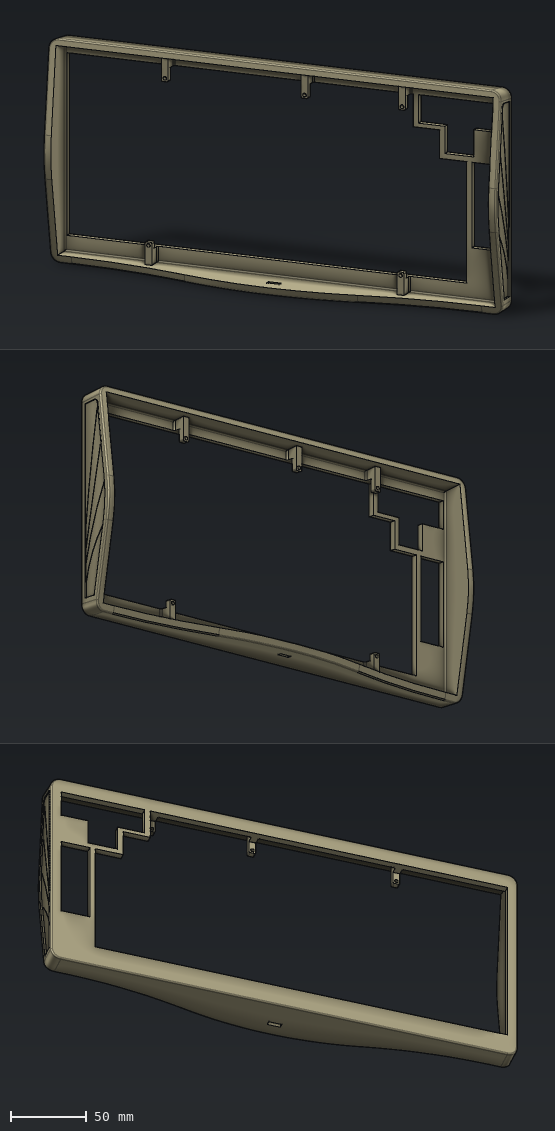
import cadquery as cq
import math


WIDTH = 325.0
HALF_WIDTH = WIDTH / 2
CORNER_RADIUS = 7.0
EDGE_FILLET = 1.0

TOP_HEIGHT = 155.0
TOP_DEPTH = 18.4
APEX_DEPTH = 28.6
APEX_HEIGHT = 75.0
APEX_RADIUS = 100.0
FOOT_DEPTH = 15.0
TOP_SLOPE = (APEX_DEPTH - TOP_DEPTH) / (TOP_HEIGHT - APEX_HEIGHT)
FOOT_SLOPE = (APEX_DEPTH - FOOT_DEPTH) / APEX_HEIGHT

LIP_DEPTH = 32.34
LIP_BEND_X = 62.2
LIP_END_X = 147.3

SIDE_WALL = 5.4
TOP_WALL = 4.85
BOTTOM_WALL = 5.4
PLATE_THICKNESS = 4.6
CAVITY_FILLET = 1.3
CAVITY_REACH = LIP_DEPTH + 10.0

OPENING_HALF_WIDTH = 155.4
OPENING_BOTTOM = 16.25
OPENING_TOP = 141.6
STRUT_WIDTH = 3.9
STEP_1_X = 93.4
STEP_1_Z = 119.1
STEP_2_X = 112.2
STEP_2_Z = 99.5
COLUMN_X = 131.6
UPPER_WINDOW_Z = 122.1
NOTCH_RIGHT_X = 136.8
LOWER_WINDOW_BOTTOM = 40.8

POST_WIDTH = 4.9
POST_DEPTH = 13.6
POST_TIP_THICKNESS = 4.2
POST_FLARE = 1.0
POST_TIP_FILLET = 1.0
POST_HOLE_DIAMETER = 2.4
POST_HOLE_INSET = 2.35
TOP_POST_TIP = 132.5
BOTTOM_POST_TIP = 21.2
TOP_POST_XS = (-81.2, 19.1, 89.1)
BOTTOM_POST_XS = (-93.0, 88.1)

SLOT_LENGTH = 9.0
SLOT_WIDTH = 3.0
SLOT_FRONT_DEPTH = 21.7

PANEL_INSET = 3.9
PANEL_BOTTOM = 10.4
PANEL_TOP_DROP = 9.0
PANEL_DEPTH = 0.6
BLADE_STEP = 0.2
PANEL_CORNER = 3.0
BLADE_EDGES = (
    ((15.2, 139.1), (7.8, 91.1), (PANEL_INSET, 58.0)),
    ((18.1, 113.2), (9.3, 71.6), (PANEL_INSET, 44.0)),
    ((22.0, 87.7), (12.9, 66.2), (PANEL_INSET, 35.0)),
    ((20.0, 57.4), (11.5, 44.2), (PANEL_INSET, 21.6)),
)


def depth_point(depth, height):
    """Point of the YZ workplane at a depth in front of the back plane."""
    return (-depth, height)


def top_height_at(depth):
    """Height of the sloping top face at a given depth."""
    return TOP_HEIGHT - TOP_SLOPE * (TOP_DEPTH - depth)


def side_outline(inset, bottom, top_drop):
    """Closed side outline: straight back, sloping top, front rounded at its apex."""
    apex_depth = APEX_DEPTH - inset
    radius = APEX_RADIUS - inset
    upper_angle = math.atan(TOP_SLOPE)
    lower_angle = math.atan(FOOT_SLOPE)
    tangent = radius * math.tan((upper_angle + lower_angle) / 2)

    arc_top = depth_point(
        apex_depth - tangent * math.sin(upper_angle),
        APEX_HEIGHT + tangent * math.cos(upper_angle),
    )
    arc_bottom = depth_point(
        apex_depth - tangent * math.sin(lower_angle),
        APEX_HEIGHT - tangent * math.cos(lower_angle),
    )
    centre_depth = -arc_top[0] - radius * math.cos(upper_angle)
    centre_height = arc_top[1] - radius * math.sin(upper_angle)
    arc_middle = depth_point(centre_depth + radius, centre_height)

    front_top = TOP_DEPTH - inset + TOP_SLOPE * top_drop
    front_bottom = FOOT_DEPTH - inset + FOOT_SLOPE * bottom
    return (
        cq.Workplane("YZ")
        .moveTo(*depth_point(inset, bottom))
        .lineTo(*depth_point(inset, top_height_at(inset) - top_drop))
        .lineTo(*depth_point(front_top, top_height_at(front_top) - top_drop))
        .lineTo(*arc_top)
        .threePointArc(arc_middle, arc_bottom)
        .lineTo(*depth_point(front_bottom, bottom))
        .close()
    )


def make_lip():
    """Bottom lip with an ogee front edge, leaning forward like the lower front face."""
    lean = FOOT_SLOPE * BOTTOM_WALL
    tip_depth = LIP_DEPTH - lean
    bend_depth = tip_depth - (tip_depth - FOOT_DEPTH) * LIP_BEND_X / LIP_END_X
    end_x = HALF_WIDTH - CORNER_RADIUS
    outline = (
        cq.Workplane("XY")
        .moveTo(-end_x, -PLATE_THICKNESS)
        .lineTo(-end_x, -FOOT_DEPTH)
        .lineTo(-LIP_END_X, -FOOT_DEPTH)
        .tangentArcPoint((-LIP_BEND_X, -bend_depth), relative=False)
        .threePointArc((0, -tip_depth), (LIP_BEND_X, -bend_depth))
        .tangentArcPoint((LIP_END_X, -FOOT_DEPTH), relative=False)
        .lineTo(end_x, -FOOT_DEPTH)
        .lineTo(end_x, -PLATE_THICKNESS)
        .close()
        .wire()
        .val()
    )
    return cq.Workplane(cq.Solid.extrudeLinear(outline, [], cq.Vector(0, -lean, BOTTOM_WALL)))


def is_rim_edge(edge):
    """True for edges where the outer walls meet the back plane or the front."""
    centre = edge.Center()
    depth = -centre.y
    at_back_or_front = depth < EDGE_FILLET or depth > FOOT_DEPTH - EDGE_FILLET
    on_side = abs(centre.x) > HALF_WIDTH - EDGE_FILLET
    on_corner = edge.geomType() != "LINE" and abs(centre.x) > HALF_WIDTH - CORNER_RADIUS / 2
    on_bottom = centre.z < EDGE_FILLET
    on_top = centre.z > top_height_at(0) - EDGE_FILLET
    return at_back_or_front and (on_side or on_corner or on_bottom or on_top)


def is_corner_edge(edge):
    """True for the four outer corner edges, which run from back to front."""
    centre = edge.Center()
    between_rims = EDGE_FILLET < -centre.y < FOOT_DEPTH - EDGE_FILLET
    at_side = abs(centre.x) > HALF_WIDTH - EDGE_FILLET
    return at_side and between_rims


def make_outer_body():
    """Solid outer shape with rounded corners and the lip."""
    body = side_outline(0, 0, 0).extrude(HALF_WIDTH, both=True)
    corners = [edge for edge in body.edges().vals() if is_corner_edge(edge)]
    return body.newObject(corners).fillet(CORNER_RADIUS).union(make_lip())


def make_cavity():
    """Space in front of the back plate, rounded where it meets the plate."""
    ceiling_at_plate = top_height_at(PLATE_THICKNESS) - TOP_WALL
    ceiling_at_front = top_height_at(CAVITY_REACH) - TOP_WALL
    return (
        cq.Workplane("YZ")
        .moveTo(*depth_point(PLATE_THICKNESS, BOTTOM_WALL))
        .lineTo(*depth_point(PLATE_THICKNESS, ceiling_at_plate))
        .lineTo(*depth_point(CAVITY_REACH, ceiling_at_front))
        .lineTo(*depth_point(CAVITY_REACH, BOTTOM_WALL))
        .close()
        .extrude(HALF_WIDTH - SIDE_WALL, both=True)
        .faces(">Y")
        .edges()
        .fillet(CAVITY_FILLET)
    )


def make_shell():
    """Outer body hollowed from the front, with its outer rims softened."""
    shell = make_outer_body().cut(make_cavity())
    rims = [edge for edge in shell.edges().vals() if is_rim_edge(edge)]
    return shell.newObject(rims).fillet(EDGE_FILLET)


def plate_cut(points):
    """Prism through the back plate with the given (x, z) outline."""
    return cq.Workplane("XZ").polyline(points).close().extrude(PLATE_THICKNESS)


def make_openings():
    """Main opening with its stepped corner, and the two windows beside it."""
    main = plate_cut([
        (-OPENING_HALF_WIDTH, OPENING_BOTTOM),
        (COLUMN_X, OPENING_BOTTOM),
        (COLUMN_X, STEP_2_Z),
        (STEP_2_X, STEP_2_Z),
        (STEP_2_X, STEP_1_Z),
        (STEP_1_X, STEP_1_Z),
        (STEP_1_X, OPENING_TOP),
        (-OPENING_HALF_WIDTH, OPENING_TOP),
    ])
    upper_window = plate_cut([
        (STEP_1_X + STRUT_WIDTH, OPENING_TOP),
        (STEP_1_X + STRUT_WIDTH, UPPER_WINDOW_Z),
        (STEP_2_X + STRUT_WIDTH, UPPER_WINDOW_Z),
        (STEP_2_X + STRUT_WIDTH, STEP_2_Z + STRUT_WIDTH),
        (NOTCH_RIGHT_X, STEP_2_Z + STRUT_WIDTH),
        (NOTCH_RIGHT_X, UPPER_WINDOW_Z),
        (OPENING_HALF_WIDTH, UPPER_WINDOW_Z),
        (OPENING_HALF_WIDTH, OPENING_TOP),
    ])
    lower_window = plate_cut([
        (COLUMN_X + STRUT_WIDTH, LOWER_WINDOW_BOTTOM),
        (OPENING_HALF_WIDTH, LOWER_WINDOW_BOTTOM),
        (OPENING_HALF_WIDTH, STEP_2_Z),
        (COLUMN_X + STRUT_WIDTH, STEP_2_Z),
    ])
    return main.union(upper_window).union(lower_window)


def make_post(x, root, shoulder, tip):
    """Post along the plate from a wall to the opening edge, with a thinner drilled tip beyond it."""
    half = POST_WIDTH / 2
    base = (
        cq.Workplane("XY", origin=(x, 0, root))
        .moveTo(-half - POST_FLARE, -PLATE_THICKNESS)
        .lineTo(-half, -PLATE_THICKNESS - POST_FLARE)
        .lineTo(-half, -POST_DEPTH)
        .lineTo(half, -POST_DEPTH)
        .lineTo(half, -PLATE_THICKNESS - POST_FLARE)
        .lineTo(half + POST_FLARE, -PLATE_THICKNESS)
        .close()
        .extrude(shoulder - root)
    )
    points_up = tip > root
    tip_plane = cq.Workplane("XZ", origin=(x, POST_TIP_THICKNESS - POST_DEPTH, 0))
    tip_block = (
        tip_plane.center(0, (root + tip) / 2)
        .rect(POST_WIDTH, abs(tip - root))
        .extrude(POST_TIP_THICKNESS)
        .faces(">Z" if points_up else "<Z")
        .edges("|Y")
        .fillet(POST_TIP_FILLET)
    )
    hole_z = tip - POST_HOLE_INSET if points_up else tip + POST_HOLE_INSET
    hole = tip_plane.center(0, hole_z).circle(POST_HOLE_DIAMETER / 2).extrude(POST_TIP_THICKNESS)
    return base.union(tip_block).cut(hole)


def make_slot():
    """Slot cut down through the lip."""
    return cq.Workplane("XY").box(
        SLOT_LENGTH, SLOT_WIDTH, BOTTOM_WALL, centered=(True, False, False)
    ).translate((0, -SLOT_FRONT_DEPTH, 0))


def panel_block(depth):
    """Prism of the whole side panel outline, with its upper front corner rounded."""
    outline = side_outline(PANEL_INSET, PANEL_BOTTOM, PANEL_TOP_DROP)
    return outline.extrude(depth).edges("|X").edges(">Z").fillet(PANEL_CORNER)


def make_panel_cut():
    """Recess in the -X side whose floor drops one step below each blade edge."""
    cut = panel_block(PANEL_DEPTH)
    for number, (front, middle, back) in enumerate(BLADE_EDGES, start=1):
        depth = PANEL_DEPTH + number * BLADE_STEP
        below_edge = (
            cq.Workplane("YZ")
            .moveTo(*depth_point(LIP_DEPTH, front[1]))
            .lineTo(*depth_point(*front))
            .threePointArc(depth_point(*middle), depth_point(*back))
            .lineTo(*depth_point(0, back[1]))
            .lineTo(*depth_point(0, 0))
            .lineTo(*depth_point(LIP_DEPTH, 0))
            .close()
            .extrude(depth)
        )
        cut = cut.union(panel_block(depth).intersect(below_edge))
    return cut.translate((-HALF_WIDTH, 0, 0))


result = make_shell().cut(make_openings())

ceiling = top_height_at(PLATE_THICKNESS) - TOP_WALL / 2
for post_x in TOP_POST_XS:
    result = result.union(make_post(post_x, ceiling, OPENING_TOP, TOP_POST_TIP))
for post_x in BOTTOM_POST_XS:
    result = result.union(make_post(post_x, BOTTOM_WALL / 2, OPENING_BOTTOM, BOTTOM_POST_TIP))

result = result.cut(make_slot())

panel_cut = make_panel_cut()
result = result.cut(panel_cut).cut(panel_cut.mirror("YZ"))